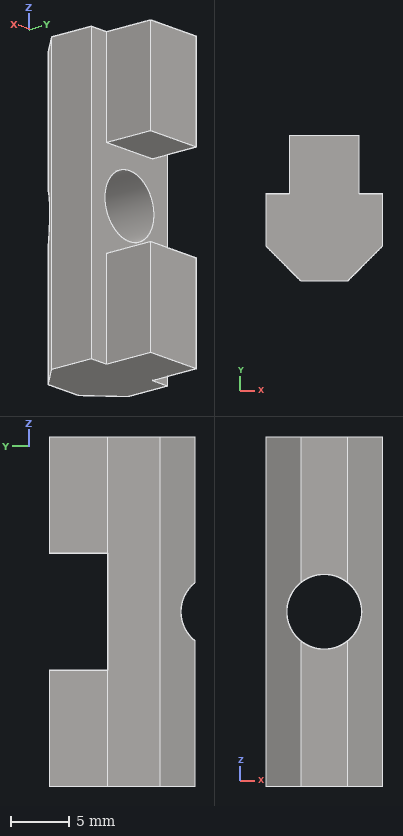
import cadquery as cq

length = 30.0
head_width = 10.0
head_depth = 7.5
head_chamfer = 3.0
tongue_width = 6.0
tongue_depth = 5.0
gap_length = 10.0
hole_diameter = 6.4

total_depth = head_depth + tongue_depth
mid_height = length / 2


def make_head():
    """Full-length bar with its two front edges bevelled."""
    bar = cq.Workplane("XY").box(head_width, head_depth, length, centered=(True, False, False))
    return bar.edges("|Z and <Y").chamfer(head_chamfer)


def make_tongue():
    """Narrow rib along the back face, interrupted by the central gap."""
    rib = (
        cq.Workplane("XY")
        .box(tongue_width, tongue_depth, length, centered=(True, False, False))
        .translate((0, head_depth, 0))
    )
    gap = (
        cq.Workplane("XY")
        .box(tongue_width, tongue_depth, gap_length, centered=(True, False, True))
        .translate((0, head_depth, mid_height))
    )
    return rib.cut(gap)


def make_hole():
    """Round through hole along Y at mid height."""
    return (
        cq.Workplane("XZ", origin=(0, total_depth, mid_height))
        .circle(hole_diameter / 2)
        .extrude(total_depth)
    )


result = make_head().union(make_tongue()).cut(make_hole())